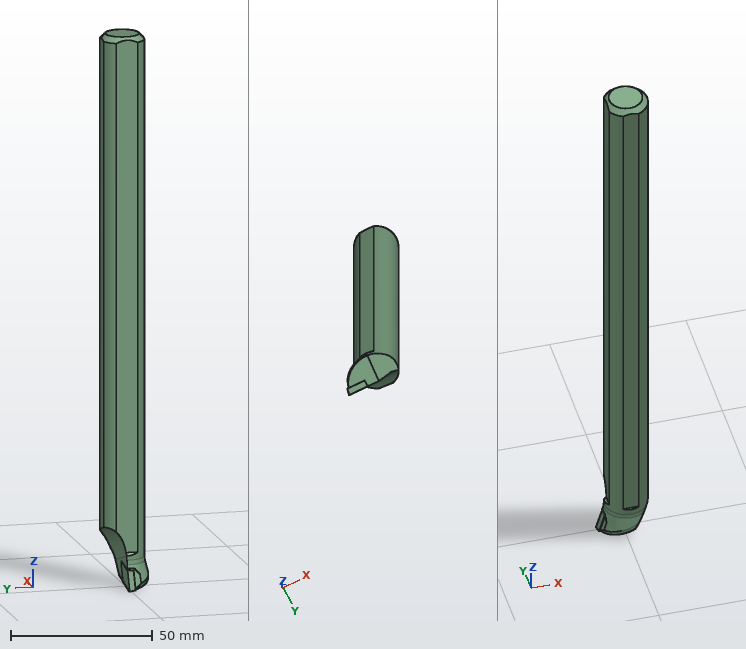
import cadquery as cq
import math

TOTAL_LENGTH = 201.25
SHANK_RADIUS = 8.0
NOSE_REACH = 10.89
END_CHAMFER = 2.0

SIDE_FLAT = 7.0
FACE_FLAT = 7.5
FLAT_END_Z = 13.5

NECK_Z = 11.0
FLARE_Z = 9.4
HEAD_BOTTOM_Z = -1.0
BLEND_GROWTH = 0.09
BLEND_SHIFT = 0.09
FLARE_GROWTH = 0.236
FLARE_SHIFT = 0.075
BACK_CUT_Z = 12.8
BACK_CUT_ANGLE = 51.0

INSERT_ANGLE = 55.0
INSCRIBED_DIAMETER = 6.35
INSERT_THICKNESS = 2.38
INSERT_RELIEF = 7.0
NOSE_RADIUS = 0.4
RAKE_TILT = 5.0

SIDE_SETBACK = 0.5
END_SETBACK = 0.15
SIDE_RELIEF = 7.0
END_RELIEF = 3.0
SEAT_CLEARANCE = 0.9
SEAT_BEVEL = 2.0
SEAT_DEPTH = 4.3
LAND_HEIGHT = 1.6
GULLET_RADIUS = 12.3
GULLET_START = 10.0

CUT_SIZE = 60.0

LEAN = math.radians((90 - INSERT_ANGLE) / 2)
EDGE_LENGTH = INSCRIBED_DIAMETER / math.sin(math.radians(INSERT_ANGLE))
SIDE_DIR = (math.sin(LEAN), math.cos(LEAN))
END_DIR = (math.cos(LEAN), math.sin(LEAN))

NOSE_CENTER_X = NOSE_RADIUS - NOSE_REACH
NOSE_CENTER_Z = NOSE_RADIUS
CORNER_DISTANCE = NOSE_RADIUS / math.sin(math.radians(INSERT_ANGLE / 2))
CORNER_X = NOSE_CENTER_X - CORNER_DISTANCE * math.sqrt(0.5)
CORNER_Z = NOSE_CENTER_Z - CORNER_DISTANCE * math.sqrt(0.5)


def tilt_to_rake(body):
    """Turn a body about the vertical line through the nose."""
    return body.rotate((-NOSE_REACH, 0, 0), (-NOSE_REACH, 0, 1), RAKE_TILT)


def make_shank():
    length = TOTAL_LENGTH - NECK_Z
    shank = cq.Workplane("XY").workplane(offset=NECK_Z).circle(SHANK_RADIUS).extrude(length)
    return shank.faces(">Z").chamfer(END_CHAMFER)


def flat_cutter(distance, turn):
    """Stock removed by a flat on the -X side, turned about the bar axis."""
    depth = SHANK_RADIUS - distance
    profile = [
        (-distance, TOTAL_LENGTH),
        (-distance, FLAT_END_Z),
        (-distance - depth, FLAT_END_Z - depth),
        (-distance - depth, TOTAL_LENGTH),
    ]
    cutter = cq.Workplane("XZ").polyline(profile).close().extrude(SHANK_RADIUS, both=True)
    return cutter.rotate((0, 0, 0), (0, 0, 1), turn)


def frustum(top_z, top_shift, top_radius, bottom_z, bottom_shift, bottom_radius):
    """Oblique cone between two level circles shifted towards -X."""
    return (
        cq.Workplane("XY", origin=(-top_shift, 0, top_z)).circle(top_radius)
        .workplane(offset=bottom_z - top_z).center(top_shift - bottom_shift, 0)
        .circle(bottom_radius).loft(ruled=True)
    )


def make_head():
    flare_radius = SHANK_RADIUS + BLEND_GROWTH
    drop = FLARE_Z - HEAD_BOTTOM_Z
    bottom_shift = BLEND_SHIFT + FLARE_SHIFT * drop
    bottom_radius = flare_radius + FLARE_GROWTH * drop
    blend = frustum(NECK_Z, 0, SHANK_RADIUS, FLARE_Z, BLEND_SHIFT, flare_radius)
    flare = frustum(FLARE_Z, BLEND_SHIFT, flare_radius, HEAD_BOTTOM_Z, bottom_shift, bottom_radius)
    return blend.union(flare)


def back_cutter():
    """Sloping cut that clears the +X side of the head."""
    drop = BACK_CUT_Z + CUT_SIZE
    run = drop / math.tan(math.radians(BACK_CUT_ANGLE))
    profile = [
        (SHANK_RADIUS, BACK_CUT_Z),
        (SHANK_RADIUS - run, BACK_CUT_Z - drop),
        (SHANK_RADIUS + CUT_SIZE, BACK_CUT_Z - drop),
        (SHANK_RADIUS + CUT_SIZE, BACK_CUT_Z),
    ]
    return cq.Workplane("XZ").polyline(profile).close().extrude(CUT_SIZE, both=True)


def relief_plane(edge_dir, outward, setback, relief):
    """Holder face behind a cutting edge, leaning in below it; local x follows the edge."""
    origin = (CORNER_X - setback * outward[0], 0, CORNER_Z - setback * outward[1])
    angle = math.radians(relief)
    normal = (math.cos(angle) * outward[0], -math.sin(angle), math.cos(angle) * outward[1])
    return cq.Plane(origin=origin, xDir=(edge_dir[0], 0, edge_dir[1]), normal=normal)


def side_cutter():
    """Relief beside the insert, closed just above it with a bevelled upper corner."""
    outward = (-SIDE_DIR[1], SIDE_DIR[0])
    plane = relief_plane(SIDE_DIR, outward, SIDE_SETBACK, SIDE_RELIEF)
    top = EDGE_LENGTH + SEAT_CLEARANCE
    profile = [
        (-CUT_SIZE, CUT_SIZE),
        (top, CUT_SIZE),
        (top, SEAT_BEVEL - SEAT_DEPTH),
        (top - SEAT_BEVEL, -SEAT_DEPTH),
        (top - SEAT_BEVEL, -CUT_SIZE),
        (-CUT_SIZE, -CUT_SIZE),
    ]
    return cq.Workplane(plane).polyline(profile).close().extrude(CUT_SIZE)


def add_end_land(head):
    """Trim the flare parallel to the end cutting edge and carry its section on straight."""
    outward = (END_DIR[1], -END_DIR[0])
    plane = relief_plane(END_DIR, outward, END_SETBACK + LAND_HEIGHT, END_RELIEF)
    trimmed = head.cut(cq.Workplane(plane).rect(CUT_SIZE, CUT_SIZE).extrude(CUT_SIZE))
    section = trimmed.faces("<Z").val()
    land = cq.Solid.extrudeLinear(section, plane.zDir * LAND_HEIGHT)
    return trimmed.union(cq.Workplane(land))


def gullet_cutter():
    """Space above the rake plane, curving out of the bar along the side cutting edge."""
    axis_point = (0, 0, GULLET_START)
    across = (-SIDE_DIR[1], 0, SIDE_DIR[0])
    plane = cq.Plane(origin=axis_point, xDir=(SIDE_DIR[0], 0, SIDE_DIR[1]), normal=across)
    diagonal = GULLET_RADIUS * math.sqrt(0.5)
    cutter = (
        cq.Workplane(plane)
        .moveTo(-CUT_SIZE / 2, 0)
        .lineTo(0, 0)
        .threePointArc(
            (diagonal, GULLET_RADIUS - diagonal),
            (GULLET_RADIUS, GULLET_RADIUS),
        )
        .lineTo(-CUT_SIZE / 2, GULLET_RADIUS)
        .close()
        .extrude(CUT_SIZE / 2, both=True)
    )
    return tilt_to_rake(cutter)


def make_insert():
    corner = cq.Vector(CORNER_X, CORNER_Z)
    up = cq.Vector(*SIDE_DIR) * EDGE_LENGTH
    along = cq.Vector(*END_DIR) * EDGE_LENGTH
    corners = [corner, corner + along, corner + along + up, corner + up]
    outline = (
        cq.Sketch()
        .polygon([(p.x, p.y) for p in corners + corners[:1]])
        .vertices().fillet(NOSE_RADIUS)
    )
    blank = cq.Workplane("XZ").placeSketch(outline).extrude(INSERT_THICKNESS, taper=INSERT_RELIEF)
    return tilt_to_rake(blank)


insert = make_insert()

holder = make_shank()
for distance, turn in [(SIDE_FLAT, 0), (FACE_FLAT, 90), (FACE_FLAT, -90)]:
    holder = holder.cut(flat_cutter(distance, turn))
holder = holder.union(add_end_land(make_head()))
holder = holder.cut(back_cutter())
holder = holder.cut(side_cutter())
holder = holder.cut(gullet_cutter())
holder = holder.cut(insert)

result = cq.Compound.makeCompound([holder.val(), insert.val()])